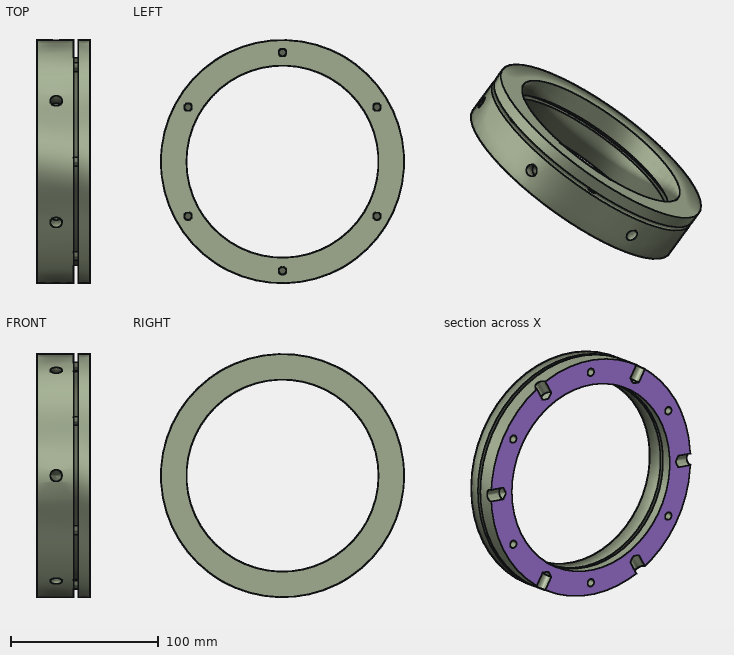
import cadquery as cq
import math

OUTER_RADIUS = 82.5
BORE_RADIUS = 65.0
BODY_WIDTH = 24.9
GAP_WIDTH = 3.0
FLANGE_WIDTH = 8.1
TOTAL_WIDTH = BODY_WIDTH + GAP_WIDTH + FLANGE_WIDTH

SLOT_FLOOR_RADIUS = 70.5
BORE_GROOVE_SETBACK = 5.0
BORE_GROOVE_X = BODY_WIDTH - BORE_GROOVE_SETBACK

PIN_COUNT = 6
PIN_CIRCLE_RADIUS = 74.0
PIN_DIAMETER = 6.0
AXIAL_HOLE_DIAMETER = 5.0

RADIAL_HOLE_COUNT = 6
RADIAL_HOLE_DIAMETER = 8.0
RADIAL_HOLE_X = 13.0
RADIAL_HOLE_DEPTH = 10.0
DRILL_TIP_ANGLE = 118.0
FIRST_RADIAL_HOLE_ANGLE = 0.0
FIRST_PIN_ANGLE = 30.0


def ring(x_start, width, outer_radius, inner_radius):
    """Annular disc about the X axis."""
    return (
        cq.Workplane("YZ", origin=(x_start, 0, 0))
        .circle(outer_radius)
        .circle(inner_radius)
        .extrude(width)
    )


def cylinders_on_pin_circle(x_start, length, diameter):
    """Axial cylinders equally spaced on the pin circle."""
    return (
        cq.Workplane("YZ", origin=(x_start, 0, 0))
        .polarArray(PIN_CIRCLE_RADIUS, FIRST_PIN_ANGLE, 360, PIN_COUNT)
        .circle(diameter / 2)
        .extrude(length)
    )


def radial_hole_cutter(angle):
    """Drill shape entering from the rim, pointing at the ring axis."""
    radius = RADIAL_HOLE_DIAMETER / 2
    tip_length = radius / math.tan(math.radians(DRILL_TIP_ANGLE / 2))
    floor = OUTER_RADIUS - RADIAL_HOLE_DEPTH
    drill = (
        cq.Workplane("XY")
        .moveTo(0, floor - tip_length)
        .lineTo(radius, floor)
        .lineTo(radius, OUTER_RADIUS)
        .lineTo(0, OUTER_RADIUS)
        .close()
        .revolve(360, (0, 0, 0), (0, 1, 0))
    )
    return drill.rotate((0, 0, 0), (1, 0, 0), angle).translate((RADIAL_HOLE_X, 0, 0))


def make_housing():
    """Double-flanged ring, slotted from the rim and grooved from the bore."""
    housing = ring(0, TOTAL_WIDTH, OUTER_RADIUS, BORE_RADIUS)
    housing = housing.cut(ring(BODY_WIDTH, GAP_WIDTH, OUTER_RADIUS, SLOT_FLOOR_RADIUS))
    housing = housing.cut(ring(BORE_GROOVE_X, GAP_WIDTH, SLOT_FLOOR_RADIUS, BORE_RADIUS))
    housing = housing.cut(cylinders_on_pin_circle(0, BODY_WIDTH, AXIAL_HOLE_DIAMETER))
    for index in range(RADIAL_HOLE_COUNT):
        angle = FIRST_RADIAL_HOLE_ANGLE + index * 360 / RADIAL_HOLE_COUNT
        housing = housing.cut(radial_hole_cutter(angle))
    return housing


def make_pins():
    """Separate pins filling the slot width between the two flanges."""
    return cylinders_on_pin_circle(BODY_WIDTH, GAP_WIDTH, PIN_DIAMETER)


housing = make_housing()
pins = make_pins()

result = cq.Compound.makeCompound([housing.val(), *pins.vals()])